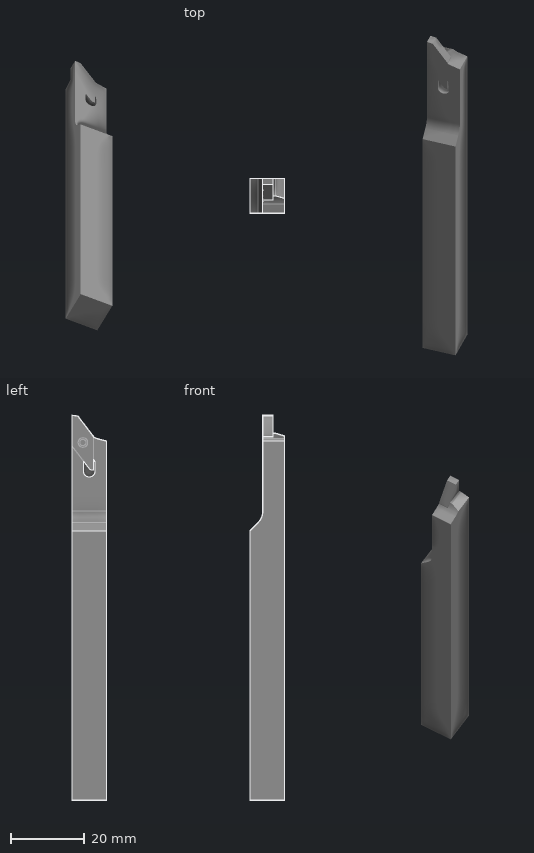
import cadquery as cq
import math

shank_size = 9.525
overall_length = 105.0

neck_thickness = 6.0
neck_start_height = 73.5
ramp_depth = 2.2
ramp_angle = 45.0

nose_front_height = 97.95
nose_front_slope = 14.5
nose_front_length = 2.52
nose_blend_radius = 4.0
nose_top_height = 100.1
nose_flat_end = 7.0
nose_side_slope = 17.0

insert_thickness = 2.825
insert_width = 5.95
insert_flank_angle = 52.5
insert_tip_width = 1.65
insert_tip_slope = 7.0
insert_back_height = 96.65
insert_bottom_height = 90.05
insert_bottom_radius = 0.8

screw_from_tip_edge = 3.05
screw_height = 97.55
sleeve_radius = 1.3
screw_radius = 0.85

slot_width = 3.2
slot_bottom_height = 88.15
slot_length = 5.3
slot_direction = 90.0
slot_depth = insert_thickness

neck_face_x = shank_size - neck_thickness


def tangent(degrees):
    return math.tan(math.radians(degrees))


def radius_parts(radius, degrees):
    """Sine and cosine parts of a radius turned by an angle in degrees."""
    angle = math.radians(degrees)
    return radius * math.sin(angle), radius * math.cos(angle)


def neck_profile():
    """Shank outline in XZ, with the ramp and tangent blend into the neck face."""
    ramp_top_height = neck_start_height + ramp_depth / tangent(ramp_angle)
    blend_radius = (neck_face_x - ramp_depth) / (1 - math.cos(math.radians(ramp_angle)))
    blend_top_height = ramp_top_height + blend_radius * math.sin(math.radians(ramp_angle))
    blend_center_x = neck_face_x - blend_radius
    drop, reach = radius_parts(blend_radius, ramp_angle / 2)
    return (
        cq.Workplane("XZ")
        .moveTo(0, 0)
        .lineTo(shank_size, 0)
        .lineTo(shank_size, overall_length)
        .lineTo(neck_face_x, overall_length)
        .lineTo(neck_face_x, blend_top_height)
        .threePointArc((blend_center_x + reach, blend_top_height - drop), (ramp_depth, ramp_top_height))
        .lineTo(0, neck_start_height)
        .close()
        .extrude(-shank_size)
    )


def nose_front_limit():
    """Outline in YZ of the front slope, the concave blend and the flank up to the full length."""
    slope_end_height = nose_front_height + nose_front_length * tangent(nose_front_slope)
    start_y, start_z = radius_parts(nose_blend_radius, nose_front_slope)
    center_y = nose_front_length - start_y
    center_z = slope_end_height + start_z
    mid_y, mid_z = radius_parts(nose_blend_radius, (nose_front_slope + insert_flank_angle) / 2)
    end_y, end_z = radius_parts(nose_blend_radius, insert_flank_angle)
    flank_height = center_z - end_z
    flank_run = (overall_length - flank_height) / tangent(insert_flank_angle)
    return (
        cq.Workplane("YZ")
        .moveTo(0, 0)
        .lineTo(0, nose_front_height)
        .lineTo(nose_front_length, slope_end_height)
        .threePointArc((center_y + mid_y, center_z - mid_z), (center_y + end_y, flank_height))
        .lineTo(center_y + end_y + flank_run, overall_length)
        .lineTo(shank_size, overall_length)
        .lineTo(shank_size, 0)
        .close()
        .extrude(shank_size)
    )


def nose_top_limit():
    """Outline in XZ of the flat nose top and the slope falling toward +X."""
    side_drop = (shank_size - nose_flat_end) * tangent(nose_side_slope)
    return (
        cq.Workplane("XZ")
        .moveTo(0, 0)
        .lineTo(0, nose_top_height)
        .lineTo(nose_flat_end, nose_top_height)
        .lineTo(shank_size, nose_top_height - side_drop)
        .lineTo(shank_size, 0)
        .close()
        .extrude(-shank_size)
    )


def neck_face_plane():
    """Sketch plane on the neck face: local x runs along +Y, local y along +Z, normal +X."""
    return cq.Workplane("YZ", origin=(neck_face_x, 0, 0))


def slot():
    center_height = slot_bottom_height + slot_length / 2
    return (
        neck_face_plane()
        .center(shank_size / 2, center_height)
        .slot2D(slot_length, slot_width, slot_direction)
        .extrude(slot_depth)
    )


def insert_blank():
    tip_end_y = shank_size - insert_tip_width
    tip_end_height = overall_length - insert_tip_width * tangent(insert_tip_slope)
    front_y = shank_size - insert_width
    front_height = tip_end_height - (tip_end_y - front_y) * tangent(insert_flank_angle)
    flank_foot_run = (insert_back_height - insert_bottom_height) / tangent(insert_flank_angle)
    tangent_length = insert_bottom_radius * tangent(insert_flank_angle / 2)
    flank_foot_y = shank_size - flank_foot_run
    arc_center_y = flank_foot_y - tangent_length
    arc_center_height = insert_bottom_height + insert_bottom_radius
    mid_y, mid_z = radius_parts(insert_bottom_radius, insert_flank_angle / 2)
    end_y, end_z = radius_parts(insert_bottom_radius, insert_flank_angle)
    return (
        neck_face_plane()
        .moveTo(shank_size, overall_length)
        .lineTo(tip_end_y, tip_end_height)
        .lineTo(front_y, front_height)
        .lineTo(front_y, insert_bottom_height)
        .lineTo(arc_center_y, insert_bottom_height)
        .threePointArc(
            (arc_center_y + mid_y, arc_center_height - mid_z),
            (arc_center_y + end_y, arc_center_height - end_z),
        )
        .lineTo(shank_size, insert_back_height)
        .close()
        .extrude(insert_thickness)
    )


def screw_cylinder(radius):
    screw_y = shank_size - screw_from_tip_edge
    return neck_face_plane().center(screw_y, screw_height).circle(radius).extrude(insert_thickness)


insert = insert_blank()
sleeve = screw_cylinder(sleeve_radius)
screw = screw_cylinder(screw_radius)

holder = neck_profile().intersect(nose_front_limit()).intersect(nose_top_limit())
holder = holder.cut(slot()).cut(insert)

result = holder
for piece in (insert.cut(sleeve), sleeve.cut(screw), screw):
    result = result.union(piece, clean=False)